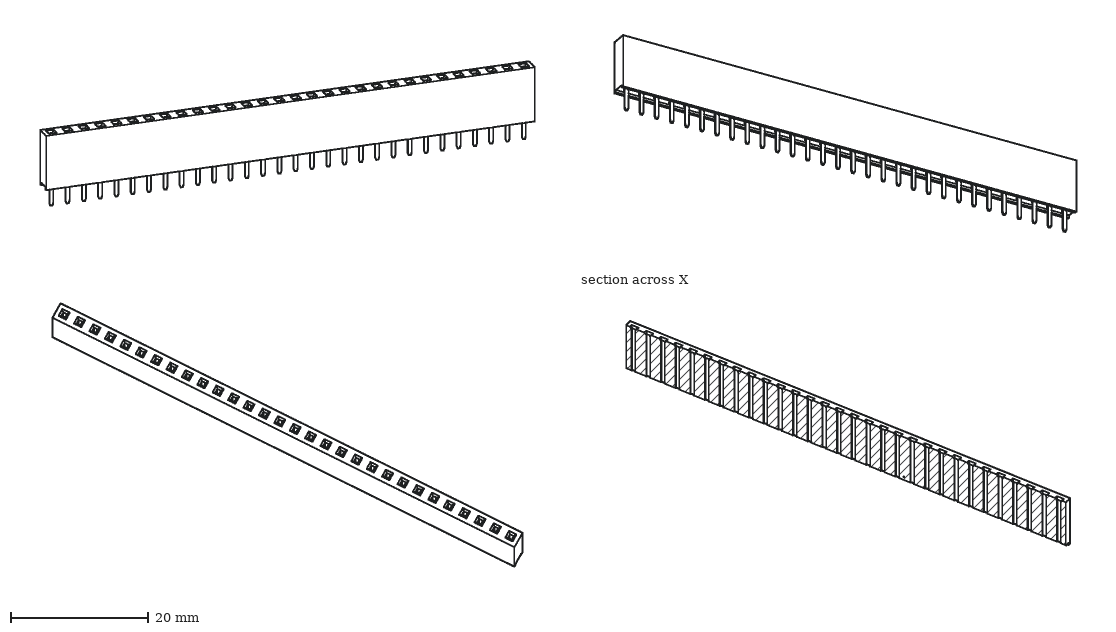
import cadquery as cq

PIN_COUNT = 30
LENGTH = 76.2
PITCH = LENGTH / PIN_COUNT
WIDTH = PITCH
TOTAL_HEIGHT = 11.6
BODY_HEIGHT = 8.5

CHANNEL_WIDTH = 1.7
CHANNEL_DEPTH = 0.4

PIN_WIDTH = 0.6
PIN_THICKNESS = 0.2
TIP_WIDTH = PIN_WIDTH / 2
TIP_LENGTH = 0.4
PIN_BOTTOM = BODY_HEIGHT - TOTAL_HEIGHT
PIN_TOP = 4.6

FUNNEL_SIZE = 1.2
HOLE_SIZE = PIN_WIDTH
FUNNEL_DEPTH = (FUNNEL_SIZE - HOLE_SIZE) / 2


def make_housing():
    """Rectangular bar with the relief channel cut out."""
    bar = cq.Workplane("XY").box(WIDTH, LENGTH, BODY_HEIGHT, centered=(True, True, False))
    channel = cq.Workplane("XY").box(
        CHANNEL_WIDTH, LENGTH, CHANNEL_DEPTH, centered=(True, True, False)
    )
    return bar.cut(channel)


def make_socket():
    """Cutter for one socket through the housing, centred on the Z axis."""
    funnel = (
        cq.Workplane("XY", origin=(0, 0, BODY_HEIGHT))
        .rect(FUNNEL_SIZE, FUNNEL_SIZE)
        .workplane(offset=-FUNNEL_DEPTH)
        .rect(HOLE_SIZE, HOLE_SIZE)
        .loft(ruled=True)
    )
    hole = cq.Workplane("XY").rect(HOLE_SIZE, HOLE_SIZE).extrude(BODY_HEIGHT - FUNNEL_DEPTH)
    return funnel.union(hole)


def make_pin():
    """One blade, centred on the Z axis."""
    half_width = PIN_WIDTH / 2
    half_tip = TIP_WIDTH / 2
    shoulder_z = PIN_BOTTOM + TIP_LENGTH
    outline = [
        (-half_width, PIN_TOP),
        (-half_width, shoulder_z),
        (-half_tip, PIN_BOTTOM),
        (half_tip, PIN_BOTTOM),
        (half_width, shoulder_z),
        (half_width, PIN_TOP),
    ]
    return cq.Workplane("YZ").polyline(outline).close().extrude(PIN_THICKNESS / 2, both=True)


def repeat_along_row(shape):
    """Copies of a shape at every pin position, as one compound."""
    first_y = -(PIN_COUNT - 1) / 2 * PITCH
    solid = shape.val()
    copies = [solid.translate(cq.Vector(0, first_y + i * PITCH, 0)) for i in range(PIN_COUNT)]
    return cq.Workplane("XY").newObject([cq.Compound.makeCompound(copies)])


sockets = repeat_along_row(make_socket())
pins = repeat_along_row(make_pin())
result = make_housing().cut(sockets).union(pins)